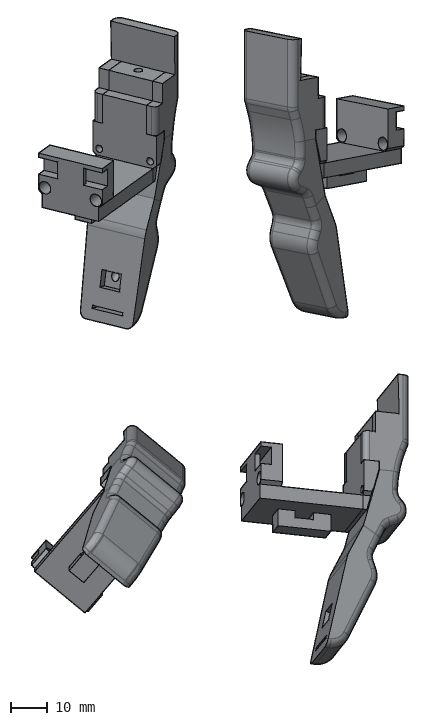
import cadquery as cq
import math


full_width = 20.0
half_width = full_width / 2
plate_top = 14.0
tongue_top = 22.6
head_top = 28.5
tongue_thickness = 3.3
core_width = 13.8
slant_top = 11.6
slant_slope = 0.265
clearance = 0.2
recess_depth = 4.4

handle_top = 40.0
handle_bottom = -40.36
handle_back = 13.0
tang_front_top = 9.6
tang_front_bottom = 9.95
knee_z = -4.8
knee_y = recess_depth - slant_slope * (slant_top - knee_z)
shin_bend = (-4.35, -13.77)
shin_bend_radius = 10.0
toe_y = -10.0
back_edge_radius = 2.0
cheek_radius = 1.5
upper_taper = 0.041
lower_taper = 0.0331
lower_taper_tilt = 9.3

grip_corners = [
    ((handle_back, 20.6), 4.0),
    ((10.07, 12.4), 32.0),
    ((10.07, 5.25), 2.8),
    ((15.45, -0.12), 4.0),
    ((6.93, -4.0), 2.5),
    ((2.87, -12.8), 3.0),
    ((5.0, -18.7), 6.0),
    ((-5.0, handle_bottom), 6.0),
]

pocket_width = 6.1
pocket_height = 5.0
pocket_depth = 2.4
pocket_z = -28.5
slot_width = 9.5
slot_height = 0.9
slot_depth = 4.5
slot_z = -36.7
channel_diameter = 2.3
pocket_hole_z = -28.2
pocket_hole_rise = 25.0
pocket_hole_length = 5.0

core_hole_y = 7.4
core_hole_lean = 15.0
core_hole_depth = 10.0
screw_x = 8.0
screw_z = 6.1
screw_hole_diameter = 2.1
access_hole_diameter = 3.6

arm_thickness = 4.1
arm_width = 17.8
corner_height = 0.95
arm_end = -29.1
end_plate_thickness = 6.1
end_plate_top = 16.0
notch_bottom = 9.7
notch_top = 14.75
notch_depth = 2.9
web_width = 8.1
web_thickness = 1.4
loop_width = 5.2
loop_front = -22.1
loop_back = -7.2
loop_bottom = -4.9
loop_slot_front = -17.3
loop_slot_back = -12.1
loop_slot_depth = 2.0


def rounded_outline(corners):
    """Closed YZ outline through (point, radius) corners, each rounded by a tangent arc."""
    wire = None
    for i, (corner, radius) in enumerate(corners):
        here = cq.Vector(*corner)
        back = (cq.Vector(*corners[i - 1][0]) - here).normalized()
        ahead = (cq.Vector(*corners[(i + 1) % len(corners)][0]) - here).normalized()
        half_angle = back.getAngle(ahead) / 2
        tangent_length = radius / math.tan(half_angle)
        arc_start = here + back * tangent_length
        if wire is None:
            wire = cq.Workplane("YZ").moveTo(arc_start.x, arc_start.y)
        else:
            wire = wire.lineTo(arc_start.x, arc_start.y)
        if radius > 0:
            arc_end = here + ahead * tangent_length
            to_arc = radius / math.sin(half_angle) - radius
            arc_middle = here + (back + ahead).normalized() * to_arc
            wire = wire.threePointArc(arc_middle.toTuple()[:2], arc_end.toTuple()[:2])
    return wire.close()


def box(x_range, y_range, z_range):
    """Box between pairs of limits."""
    (x0, x1), (y0, y1), (z0, z1) = x_range, y_range, z_range
    return cq.Workplane("XY").box(x1 - x0, y1 - y0, z1 - z0, centered=False).translate((x0, y0, z0))


def taper_wedge(top_half_width, top_y, top_z, rate, tilt):
    """Material outside a plane on the +X side that leans inward below the given point."""
    reach = 60.0
    outer = full_width
    return (
        cq.Workplane("XZ")
        .polyline([
            (outer, reach),
            (top_half_width + rate * reach, reach),
            (top_half_width - rate * reach, -reach),
            (outer, -reach),
        ])
        .close()
        .extrude(reach, both=True)
        .rotate((0, 0, 0), (1, 0, 0), tilt)
        .translate((0, top_y, top_z))
    )


def sloped_hole(diameter, length, start, direction):
    """Round hole whose axis starts a little outside the start point."""
    overrun = diameter
    axis = cq.Vector(*direction).normalized()
    base = cq.Vector(*start) - axis * overrun
    return cq.Workplane(cq.Solid.makeCylinder(diameter / 2, length + overrun, base, axis))


def shin_front_y(z):
    """Y of the lower front face at height z."""
    slope = (shin_bend[0] - toe_y) / (shin_bend[1] - handle_bottom)
    return toe_y + slope * (z - handle_bottom)


def shin_pocket(width, height, depth, z):
    """Rectangular recess square to the lower front face."""
    lean = math.degrees(math.atan2(shin_bend[0] - toe_y, shin_bend[1] - handle_bottom))
    return (
        cq.Workplane("XY")
        .box(width, 2 * depth, height)
        .rotate((0, 0, 0), (1, 0, 0), -lean)
        .translate((0, shin_front_y(z), z))
    )


def core_filling():
    """Stepped block of the bracket that fills the channel in the handle head."""
    return (
        cq.Workplane("YZ")
        .polyline([
            (0, plate_top),
            (0, tongue_top),
            (tongue_thickness, tongue_top),
            (tongue_thickness, head_top),
            (tang_front_bottom, head_top),
            (tang_front_bottom, plate_top),
        ])
        .close()
        .extrude(core_width / 2, both=True)
    )


def tapered_body(wedge):
    """Handle outline at full width, narrowed by the wedge on both sides, its back edges rounded."""
    front_corners = [
        ((toe_y, handle_bottom), 0),
        (shin_bend, shin_bend_radius),
        ((knee_y, knee_z), 0),
        ((recess_depth, slant_top), 0),
        ((recess_depth, plate_top), 0),
        ((0, plate_top), 0),
        ((0, tongue_top), 0),
        ((tongue_thickness, tongue_top), 0),
        ((tongue_thickness, head_top), 0),
        ((tang_front_bottom, head_top), 0),
        ((tang_front_top, handle_top), 0),
        ((handle_back, handle_top), 0),
    ]
    body = rounded_outline(front_corners + grip_corners).extrude(half_width, both=True)
    body = body.cut(wedge).cut(wedge.mirror("YZ"))

    front_line = cq.Wire.makePolygon([cq.Vector(0, *corner) for corner, _ in front_corners])
    back_edges = []
    for face in body.faces().vals():
        middle = cq.Vertex.makeVertex(*face.Center().toTuple())
        if abs(face.normalAt().x) < 0.01 and front_line.distance(middle) > 0.2:
            back_edges += [edge for edge in face.Edges() if abs(edge.tangentAt(0.5).x) < 0.5]
    return body.newObject(back_edges).fillet(back_edge_radius)


def make_handle():
    knee_half_width = half_width - upper_taper * (slant_top - knee_z)
    upper_wedge = taper_wedge(half_width, 0, slant_top, upper_taper, 0)
    lower_wedge = taper_wedge(knee_half_width, knee_y, knee_z, lower_taper, lower_taper_tilt)
    handle = tapered_body(upper_wedge).union(tapered_body(lower_wedge))

    handle = handle.edges(cq.selectors.BoxSelector(
        (-full_width, -0.1, plate_top + 1), (full_width, 0.1, tongue_top - 1)
    )).fillet(cheek_radius)

    handle = handle.cut(core_filling())

    handle = handle.cut(shin_pocket(pocket_width, pocket_height, pocket_depth, pocket_z))
    handle = handle.cut(shin_pocket(slot_width, slot_height, slot_depth, slot_z))
    rise = math.radians(pocket_hole_rise)
    hole_start = (0, shin_front_y(pocket_hole_z) + pocket_depth, pocket_hole_z)
    return handle.cut(
        sloped_hole(channel_diameter, pocket_hole_length, hole_start, (0, math.cos(rise), math.sin(rise)))
    )


def corner_cutter(y_range):
    """Pair of wedges that narrow a plate from full width to the arm width at the top of the arm."""
    narrow = arm_width / 2
    wedge = (
        cq.Workplane("XZ")
        .polyline([
            (half_width, 0),
            (narrow, 0),
            (narrow, arm_thickness),
            (half_width, arm_thickness + corner_height),
        ])
        .close()
        .extrude(y_range[0] - y_range[1])
        .translate((0, y_range[0], 0))
    )
    return wedge.union(wedge.mirror("YZ"))


def screw_holes(diameter, y_range):
    """Pair of round holes along Y at the screw positions."""
    return (
        cq.Workplane("XZ", origin=(0, y_range[0], 0))
        .pushPoints([(-screw_x, screw_z), (screw_x, screw_z)])
        .circle(diameter / 2)
        .extrude(y_range[0] - y_range[1])
    )


def make_bracket():
    """Plate behind the arm together with the block that locks into the handle head."""
    plate_y = (0, recess_depth)
    plate_back = recess_depth - clearance
    plate = (
        cq.Workplane("YZ")
        .polyline([
            (0, 0),
            (0, plate_top),
            (plate_back, plate_top),
            (plate_back, slant_top),
            (plate_back - slant_slope * slant_top, 0),
        ])
        .close()
        .extrude(half_width, both=True)
    )
    plate = plate.cut(corner_cutter(plate_y)).cut(screw_holes(screw_hole_diameter, plate_y))
    lean = math.radians(core_hole_lean)
    hole = sloped_hole(
        channel_diameter, core_hole_depth, (0, core_hole_y, head_top), (0, -math.sin(lean), -math.cos(lean))
    )
    return plate.union(core_filling().cut(hole))


def make_arm():
    """Arm with an upright end plate and a strap loop underneath."""
    arm = box((-arm_width / 2, arm_width / 2), (arm_end, 0), (0, arm_thickness))

    plate_y = (arm_end, arm_end + end_plate_thickness)
    end_plate = box((-half_width, half_width), plate_y, (0, end_plate_top))
    end_plate = end_plate.cut(corner_cutter(plate_y))

    notch = box((-half_width, half_width), (arm_end, arm_end + notch_depth), (notch_bottom, notch_top))
    web = box((-web_width / 2, web_width / 2), (arm_end, arm_end + web_thickness), (notch_bottom, notch_top))
    end_plate = end_plate.cut(notch.cut(web)).cut(screw_holes(access_hole_diameter, plate_y))

    loop_x = (-loop_width / 2, loop_width / 2)
    loop = box(loop_x, (loop_front, loop_back), (loop_bottom, 0))
    loop_slot = box(loop_x, (loop_slot_front, loop_slot_back), (-loop_slot_depth, 0))
    arm = arm.cut(screw_holes(access_hole_diameter, plate_y))
    return arm.union(end_plate).union(loop.cut(loop_slot))


handle = make_handle()
bracket = make_bracket()
arm = make_arm()

result = cq.Compound.makeCompound([handle.val(), bracket.val(), arm.val()])